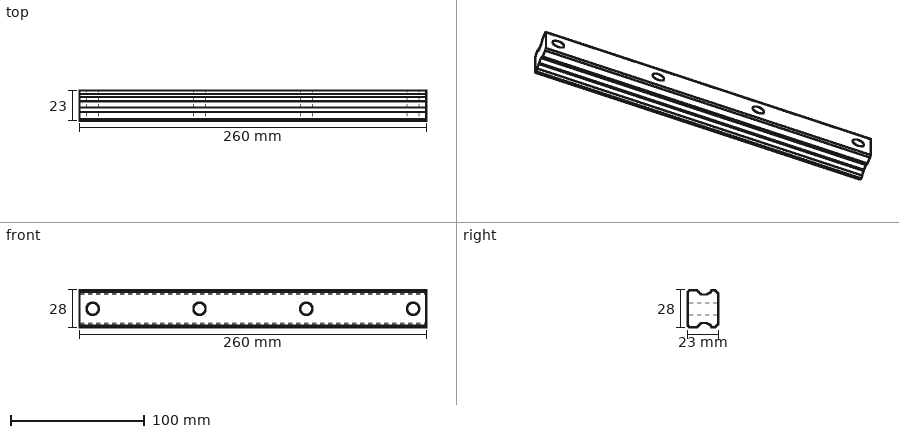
import math

import cadquery as cq

LENGTH = 260.0
HEIGHT = 23.0
WIDTH = 28.0

HEAD_CHAMFER = 2.5
BASE_CHAMFER = 1.5

HEAD_TO_TRACK = 5.1
TRACK_HEIGHT = 2.8
TRACK_DEPTH = 2.5
TRACK_RADIUS = 2.8
STEP_RUN = 0.5
FLOOR_HEIGHT = 4.4
GROOVE_DEPTH = 3.3

HOLE_DIAMETER = 9.0
HOLE_PITCH = 80.0
HOLE_COUNT = 4

HEAD_Y = HEIGHT / 2
BASE_Y = -HEIGHT / 2
FLANK_Z = WIDTH / 2


def track_midpoint(start, end):
    """Middle of the concave track arc, sunk below the chord by the arc's sagitta."""
    run = end[0] - start[0]
    rise = end[1] - start[1]
    chord = math.hypot(run, rise)
    sagitta = TRACK_RADIUS - math.sqrt(TRACK_RADIUS**2 - (chord / 2) ** 2)
    middle_y = (start[0] + end[0]) / 2 + sagitta * rise / chord
    middle_z = (start[1] + end[1]) / 2 - sagitta * run / chord
    return middle_y, middle_z


def groove_tool():
    """Groove of the +Z flank as a bar running the full rail length."""
    mouth_head = (HEAD_Y - HEAD_TO_TRACK, FLANK_Z)
    track_end = (mouth_head[0] - TRACK_HEIGHT, FLANK_Z - TRACK_DEPTH)
    floor_head = (track_end[0] - STEP_RUN, FLANK_Z - GROOVE_DEPTH)
    floor_base = (floor_head[0] - FLOOR_HEIGHT, FLANK_Z - GROOVE_DEPTH)
    mouth_base = (floor_base[0] - GROOVE_DEPTH, FLANK_Z)
    section = (
        cq.Workplane("YZ")
        .moveTo(*track_end)
        .threePointArc(track_midpoint(track_end, mouth_head), mouth_head)
        .lineTo(*mouth_base)
        .lineTo(*floor_base)
        .lineTo(*floor_head)
        .close()
    )
    return section.extrude(LENGTH / 2, both=True)


def rail_blank():
    """Plain bar with its four long edges chamfered."""
    blank = cq.Workplane("XY").box(LENGTH, HEIGHT, WIDTH)
    blank = blank.faces(">Y").edges("|X").chamfer(HEAD_CHAMFER)
    return blank.faces("<Y").edges("|X").chamfer(BASE_CHAMFER)


def mounting_holes():
    """Row of plain through holes along Y, centred on the rail."""
    row = cq.Workplane("XZ").rarray(HOLE_PITCH, 1, HOLE_COUNT, 1)
    return row.circle(HOLE_DIAMETER / 2).extrude(HEIGHT, both=True)


upper_groove = groove_tool()
lower_groove = upper_groove.mirror("XY")
result = rail_blank().cut(upper_groove).cut(lower_groove).cut(mounting_holes())